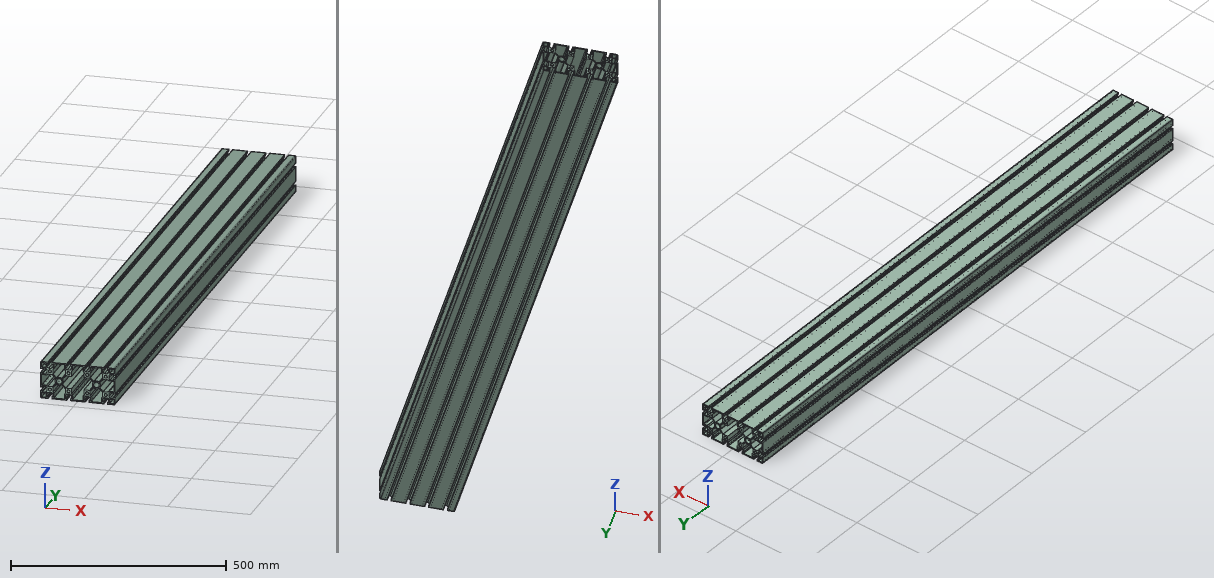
import cadquery as cq

LENGTH = 1524.0
WIDTH = 180.0
HEIGHT = 90.0
CORNER_RADIUS = 3.0
WALL = 2.7

MODULE = WIDTH / 4
CORE_X = [(i - 1.5) * MODULE for i in range(4)]
CORE_Z = [-MODULE / 2, MODULE / 2]
CORE_SIDE = 15.0
CORE_BORE = 7.0

MOUTH_WIDTH = 9.5
LIP_DEPTH = 5.0
CAVITY_WIDTH = 14.6
CAVITY_WALL_END = 11.9
FLOOR_DEPTH = (MODULE - CORE_SIDE) / 2
FLOOR_WIDTH = 6.0
SLOT_WALL = 2.3

TUBE_X = [-MODULE, MODULE]
TUBE_DIAMETER = 20.0
TUBE_BORE = 13.5
WEB_THICKNESS = 2.1


def sketch_plane():
    return cq.Workplane("XZ")


def extrude(sketch):
    """Extrude an XZ sketch over the full length, centred on Y = 0."""
    return sketch.extrude(LENGTH / 2, both=True)


def bar(width, height):
    return extrude(sketch_plane().rect(width, height))


def rods(points, diameter):
    return extrude(sketch_plane().pushPoints(points).circle(diameter / 2))


def mirrored_outline(half_points):
    """Close an outline given its +X half, listed from the outer edge inwards."""
    other_half = [(-x, z) for x, z in reversed(half_points)]
    return extrude(sketch_plane().polyline(half_points + other_half).close())


def slot_void():
    """Slot space opening at Z = 0 and reaching down to -Z."""
    return mirrored_outline([
        (MOUTH_WIDTH / 2, 0),
        (MOUTH_WIDTH / 2, -LIP_DEPTH),
        (CAVITY_WIDTH / 2, -LIP_DEPTH),
        (CAVITY_WIDTH / 2, -CAVITY_WALL_END),
        (FLOOR_WIDTH / 2, -FLOOR_DEPTH),
    ])


def slot_shell():
    """Metal around a slot, narrowing below the cavity to meet the core."""
    shoulder = CAVITY_WIDTH / 2 + SLOT_WALL
    return mirrored_outline([
        (shoulder, 0),
        (shoulder, -CAVITY_WALL_END - SLOT_WALL),
        (CORE_SIDE / 2, -FLOOR_DEPTH - SLOT_WALL),
    ])


def at_all_slots(shape):
    """Copies of a slot shape at every slot of the four long sides."""
    placed = []
    for x in CORE_X:
        top = shape.translate((x, 0, HEIGHT / 2))
        placed += [top, top.mirror("XY")]
    for z in CORE_Z:
        right = shape.rotate((0, 0, 0), (0, 1, 0), 90).translate((WIDTH / 2, 0, z))
        placed += [right, right.mirror("YZ")]
    return placed


def web(x, angle):
    """Diagonal web through a tube, running from core to opposite core."""
    span = MODULE * 2 ** 0.5
    return bar(span, WEB_THICKNESS).rotate((0, 0, 0), (0, 1, 0), angle).translate((x, 0, 0))


outer = bar(WIDTH, HEIGHT).edges("|Y").fillet(CORNER_RADIUS)
result = outer.cut(bar(WIDTH - 2 * WALL, HEIGHT - 2 * WALL))

for shell in at_all_slots(slot_shell()):
    result = result.union(shell.intersect(outer))

cores = [(x, z) for x in CORE_X for z in CORE_Z]
result = result.union(extrude(sketch_plane().pushPoints(cores).rect(CORE_SIDE, CORE_SIDE)))

tubes = [(x, 0) for x in TUBE_X]
result = result.union(rods(tubes, TUBE_DIAMETER))
for x in TUBE_X:
    for angle in (45, -45):
        result = result.union(web(x, angle))

for void in at_all_slots(slot_void()):
    result = result.cut(void)
result = result.cut(rods(cores, CORE_BORE)).cut(rods(tubes, TUBE_BORE))